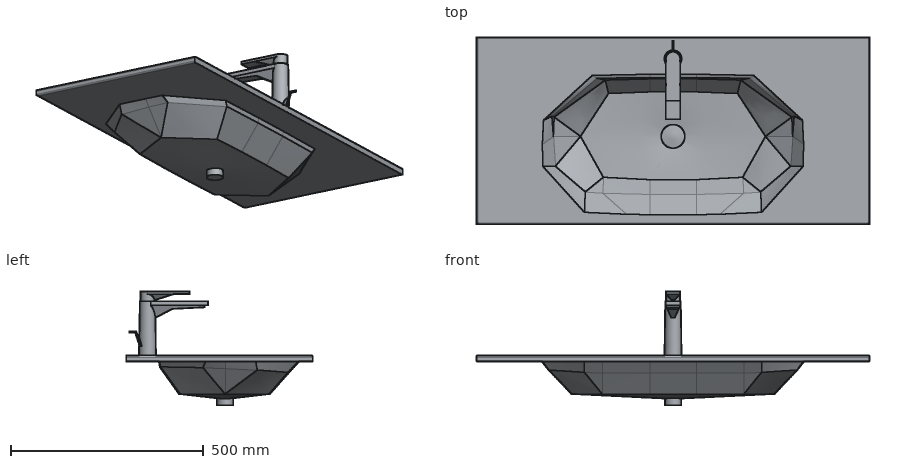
import cadquery as cq

TOP_LENGTH = 1020.0
TOP_DEPTH = 485.0
TOP_THICK = 16.0
TOP_EDGE_ROUND = 4.0

DRAIN_Y = -14.0
FLANGE_R = 31.0
FLANGE_THICK = 5.0
DOME_HEIGHT = 4.0
PIPE_R = 21.0
PIPE_BOTTOM = -130.0

FLOOR_EDGE_Z = -84.0
FLOOR_CENTRE_Z = -96.0
SHELL_EDGE_Z = -100.0
SHELL_CENTRE_Z = -112.0

MIDDLE_X = 60.0
RIM = [
    (MIDDLE_X, 147.0, 0), (209.0, 144.0, 0), (336.0, 28.0, 0), (339.0, -34.0, 0),
    (338.0, -92.0, 0), (230.0, -211.0, 0), (120.0, -216.0, 0), (MIDDLE_X, -217.0, 0),
]
LIP = [
    (MIDDLE_X, 138.0, -4.0), (198.0, 137.0, -4.0), (314.0, 38.0, -15.0), (310.0, -14.0, -36.0),
    (305.0, -92.0, -39.0), (227.0, -158.0, -41.0), (183.0, -161.0, -41.0), (MIDDLE_X, -164.0, -41.0),
]
BREAK = [(MIDDLE_X, 135.0, -33.0), (175.0, 132.0, -33.0), (308.0, 36.0, -31.0)] + LIP[3:]
FLOOR_SIDE = (240.0, DRAIN_Y, FLOOR_EDGE_Z)
FLOOR_FRONT = (181.0, -120.0, FLOOR_EDGE_Z)
FLOOR = [
    (MIDDLE_X, 101.0, FLOOR_EDGE_Z), (167.0, 97.0, FLOOR_EDGE_Z), FLOOR_SIDE, FLOOR_SIDE,
    FLOOR_SIDE, FLOOR_FRONT, FLOOR_FRONT, (MIDDLE_X, -126.0, FLOOR_EDGE_Z),
]
SHELL_TOP = [
    (MIDDLE_X, 157.0, -TOP_THICK), (218.0, 155.0, -TOP_THICK), (339.0, 37.0, -TOP_THICK),
    (340.0, DRAIN_Y, -TOP_THICK), (339.0, -94.0, -TOP_THICK), (230.0, -204.0, -TOP_THICK),
    (184.0, -205.0, -TOP_THICK), (MIDDLE_X, -206.0, -TOP_THICK),
]
SHELL_BREAK = [
    (MIDDLE_X, 155.0, -30.0), (209.0, 153.0, -30.0), (322.0, 43.0, -32.0), (324.0, DRAIN_Y, -34.0),
    (322.0, -98.0, -38.0), (230.0, -177.0, -44.0), (184.0, -178.0, -45.0), (MIDDLE_X, -180.0, -45.0),
]
SHELL_SIDE = (263.0, DRAIN_Y, SHELL_EDGE_Z)
SHELL_FRONT = (184.0, -129.0, SHELL_EDGE_Z)
SHELL_FLOOR = [
    (MIDDLE_X, 105.0, SHELL_EDGE_Z), (175.0, 102.0, SHELL_EDGE_Z), SHELL_SIDE, SHELL_SIDE,
    SHELL_SIDE, SHELL_FRONT, SHELL_FRONT, (MIDDLE_X, -131.0, SHELL_EDGE_Z),
]

TAP_Y = 187.0
COLUMN_BASE_R = 22.0
COLUMN_TOP_R = 20.0
COLUMN_TOP = 141.0

SPOUT_WIDTH = 38.0
SPOUT_TIP_Y = 30.0
SPOUT_THICK = 11.0
AERATOR_FRONT_Y = 39.0
AERATOR_BOTTOM = 124.0
GUSSET_FRONT_Y = 122.0
GUSSET_FRONT_Z = 120.0
GUSSET_ROOT_Y = 167.0
GUSSET_ROOT_Z = 97.0

KEEL_WIDTH = 8.0

LEVER_WIDTH = 37.0
LEVER_TOP = 166.0
LEVER_TIP_Y = 78.0
LEVER_TIP_THICK = 7.0
LEVER_SLOPE_Y = 117.0
LEVER_NECK_Y = 166.0
LEVER_NECK_Z = 144.0

NOTCH_Y = 202.0
NOTCH_BOTTOM = 24.0
NOTCH_TOP = 48.0
NOTCH_TOP_Y = 209.0
ROD_R = 2.0
ROD_FOOT = (203.0, 18.0)
ROD_BEND = (217.0, 61.0)
ROD_TIP_Y = 234.0


def mirrored(half):
    """Close a right-hand half outline into a full one, symmetric about X = 0."""
    return half + [(-x, y, z) for x, y, z in reversed(half)]


def outline_edges(points):
    """Straight edges round a closed outline, leaving out repeated points."""
    pairs = zip(points, points[1:] + points[:1])
    return [cq.Edge.makeLine(cq.Vector(*a), cq.Vector(*b)) for a, b in pairs if a != b]


def wall_panel(upper_start, upper_end, lower_start, lower_end):
    """Wall panel between two outlines; a triangle where the outlines meet, no panel where they coincide."""
    edges = outline_edges([upper_start, upper_end, lower_end, lower_start])
    if upper_start == lower_start and upper_end == lower_end:
        return None
    if len(edges) == 3:
        return cq.Face.makeFromWires(cq.Wire.assembleEdges(edges))
    upper = cq.Edge.makeLine(cq.Vector(*upper_start), cq.Vector(*upper_end))
    lower = cq.Edge.makeLine(cq.Vector(*lower_start), cq.Vector(*lower_end))
    return cq.Face.makeRuledSurface(upper, lower)


def make_bowl(half_outlines, centre_z):
    """Solid bowl: flat lid on the first outline, wall panels, and a dished floor inside the last one."""
    rings = [mirrored(half) for half in half_outlines]
    lid = cq.Face.makeFromWires(cq.Wire.assembleEdges(outline_edges(rings[0])))
    floor = cq.Face.makeNSidedSurface(outline_edges(rings[-1]), [cq.Vector(0, DRAIN_Y, centre_z)])
    panels = [lid, floor]
    for upper, lower in zip(rings, rings[1:]):
        for i in range(len(upper)):
            panel = wall_panel(upper[i - 1], upper[i], lower[i - 1], lower[i])
            if panel is not None:
                panels.append(panel)
    return cq.Workplane(obj=cq.Solid.makeSolid(cq.Shell.makeShell(panels)))


def upright_cylinder(radius, y, bottom, top):
    return cq.Workplane("XY", origin=(0, y, bottom)).circle(radius).extrude(top - bottom)


def side_prism(points, width):
    """Extrude a (y, z) profile along X, centred on X = 0."""
    return cq.Workplane("YZ").polyline(points).close().extrude(width / 2, both=True)


def tapered_keel(points, top_width, top_z, bottom_z):
    """A (y, z) side profile whose flanks also slope in from top_width to the keel width."""
    y_back = max(y for y, z in points)
    y_front = min(y for y, z in points)
    section = (
        cq.Workplane("XZ", origin=(0, y_back, 0))
        .polyline([(-top_width / 2, top_z), (top_width / 2, top_z),
                   (KEEL_WIDTH / 2, bottom_z), (-KEEL_WIDTH / 2, bottom_z)])
        .close()
        .extrude(y_back - y_front)
    )
    return side_prism(points, top_width).intersect(section)


def make_drain():
    """Domed flange with its outlet pipe."""
    flange_bottom = FLOOR_CENTRE_Z - FLANGE_THICK / 2
    flange_top = flange_bottom + FLANGE_THICK
    flange = upright_cylinder(FLANGE_R, DRAIN_Y, flange_bottom, flange_top)
    dome = cq.Workplane(obj=cq.Solid.makeCone(
        FLANGE_R, 0, DOME_HEIGHT, cq.Vector(0, DRAIN_Y, flange_top)))
    pipe = upright_cylinder(PIPE_R, DRAIN_Y, PIPE_BOTTOM, flange_bottom)
    return flange.union(dome).union(pipe)


def make_basin(drain):
    """Countertop with the hollow bowl hanging below it and a hole for the drain."""
    slab = cq.Workplane("XY").box(TOP_LENGTH, TOP_DEPTH, TOP_THICK, centered=(True, True, False))
    slab = slab.translate((0, 0, -TOP_THICK))
    slab = slab.faces("<Z or >Z").edges("not >Y").fillet(TOP_EDGE_ROUND)
    shell = make_bowl([SHELL_TOP, SHELL_BREAK, SHELL_FLOOR], SHELL_CENTRE_Z)
    bowl = make_bowl([RIM, LIP, BREAK, FLOOR], FLOOR_CENTRE_Z)
    return slab.union(shell).cut(bowl).cut(drain)


def make_rod():
    """Thin rod rising at a slant from inside the column, then bent level towards the back."""
    foot = (0, *ROD_FOOT)
    bend = (0, *ROD_BEND)
    direction = cq.Vector(*bend) - cq.Vector(*foot)
    stem = cq.Workplane(obj=cq.Solid.makeCylinder(ROD_R, direction.Length, cq.Vector(*foot), direction))
    elbow = cq.Workplane("XY").sphere(ROD_R).translate(bend)
    handle = cq.Workplane(obj=cq.Solid.makeCylinder(
        ROD_R, ROD_TIP_Y - ROD_BEND[0], cq.Vector(*bend), cq.Vector(0, 1, 0)))
    return stem.union(elbow).union(handle)


def make_tap(rod):
    """Tapered round column and spout in one piece, with a notch and a seat for the rod."""
    column = cq.Workplane(obj=cq.Solid.makeCone(
        COLUMN_BASE_R, COLUMN_TOP_R, COLUMN_TOP, cq.Vector(0, TAP_Y, 0)))
    spout_bottom = COLUMN_TOP - SPOUT_THICK
    spout = side_prism([
        (TAP_Y, COLUMN_TOP), (SPOUT_TIP_Y, COLUMN_TOP),
        (SPOUT_TIP_Y, spout_bottom), (TAP_Y, spout_bottom)], SPOUT_WIDTH)
    gusset = tapered_keel([
        (TAP_Y, spout_bottom), (AERATOR_FRONT_Y, spout_bottom), (AERATOR_FRONT_Y, AERATOR_BOTTOM),
        (GUSSET_FRONT_Y, GUSSET_FRONT_Z), (GUSSET_ROOT_Y, GUSSET_ROOT_Z), (TAP_Y, GUSSET_ROOT_Z)],
        SPOUT_WIDTH, spout_bottom, GUSSET_ROOT_Z)
    notch = side_prism([
        (NOTCH_TOP_Y, NOTCH_TOP), (NOTCH_Y, NOTCH_BOTTOM),
        (TAP_Y + 2 * COLUMN_BASE_R, NOTCH_BOTTOM), (TAP_Y + 2 * COLUMN_BASE_R, NOTCH_TOP)], 2 * COLUMN_BASE_R)
    return column.union(spout).union(gusset).cut(notch).cut(rod)


def make_lever():
    """Round hub standing on the column, with a thin blade over the spout."""
    hub = upright_cylinder(LEVER_WIDTH / 2, TAP_Y, COLUMN_TOP, LEVER_TOP)
    blade_bottom = LEVER_TOP - LEVER_TIP_THICK
    blade = side_prism([
        (TAP_Y, LEVER_TOP), (LEVER_TIP_Y, LEVER_TOP),
        (LEVER_TIP_Y, blade_bottom), (TAP_Y, blade_bottom)], LEVER_WIDTH)
    neck = tapered_keel([
        (TAP_Y, blade_bottom), (LEVER_SLOPE_Y, blade_bottom),
        (LEVER_NECK_Y, LEVER_NECK_Z), (TAP_Y, LEVER_NECK_Z)],
        LEVER_WIDTH, blade_bottom, LEVER_NECK_Z)
    return hub.union(blade).union(neck)


drain = make_drain()
basin = make_basin(drain)
rod = make_rod()
tap = make_tap(rod)
lever = make_lever()

bodies = [basin, drain, tap, lever, rod]
result = cq.Compound.makeCompound([body.solids().val() for body in bodies])